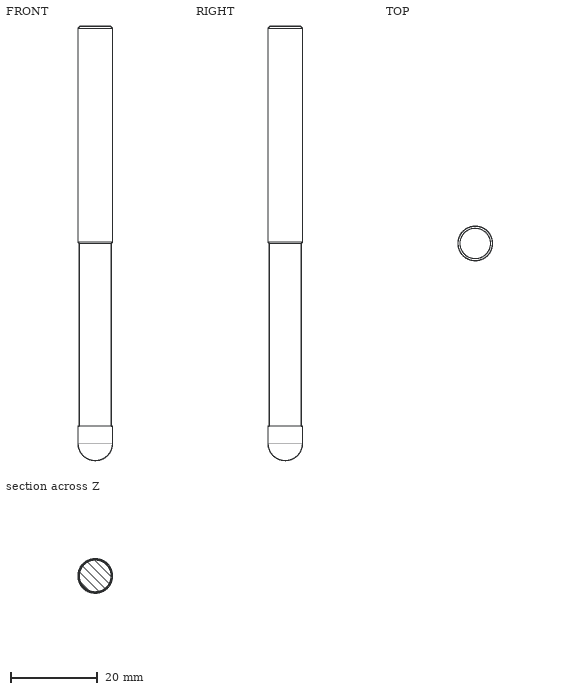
import cadquery as cq

total_length = 100.0
tool_diameter = 8.0
tool_radius = tool_diameter / 2

shank_length = 50.0
shank_chamfer = 0.5

neck_diameter = 7.4
neck_radius = neck_diameter / 2
neck_chamfer = tool_radius - neck_radius

head_length = tool_diameter
shank_bottom = total_length - shank_length


def make_head():
    """Ball-nosed cylinder whose tip touches Z = 0."""
    profile = (
        cq.Workplane("XZ")
        .moveTo(0, 0)
        .radiusArc((tool_radius, tool_radius), -tool_radius)
        .lineTo(tool_radius, head_length)
        .lineTo(0, head_length)
        .close()
    )
    return profile.revolve(360, (0, 0, 0), (0, 1, 0))


def make_neck():
    """Plain cylinder between the head and the shank."""
    return (
        cq.Workplane("XY")
        .workplane(offset=head_length)
        .circle(neck_radius)
        .extrude(shank_bottom - head_length)
    )


def make_shank():
    """Cylinder chamfered at its top and down to the neck at its bottom."""
    return (
        cq.Workplane("XY")
        .workplane(offset=shank_bottom)
        .circle(tool_radius)
        .extrude(shank_length)
        .faces(">Z")
        .chamfer(shank_chamfer)
        .faces("<Z")
        .chamfer(neck_chamfer)
    )


head = make_head()
neck = make_neck()
shank = make_shank()

result = cq.Compound.makeCompound([head.val(), neck.val(), shank.val()])